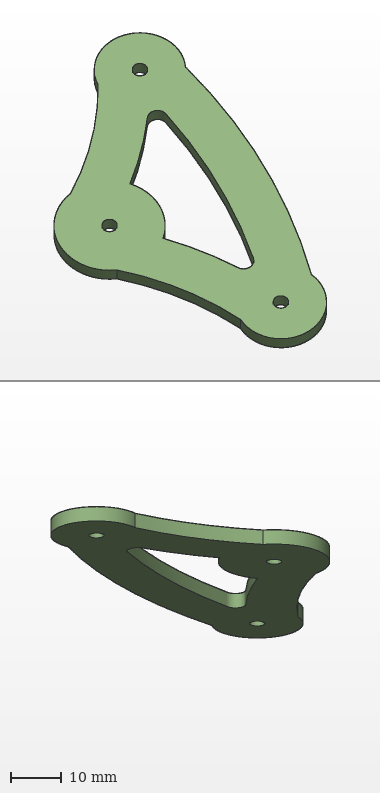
import cadquery as cq
import math

overall_length = 81.0
thickness = 3.0
hole_diameter = 3.0
end_lobe_radius = 9.0
lower_lobe_radius = 10.9
end_hole_x = overall_length / 2 - end_lobe_radius
end_hole_y = 22.0

web_width = 10.05
top_centre_y = -90.15
top_outer_radius = 123.8
top_inner_radius = top_outer_radius - web_width
arm_centre = (-59.05, -44.6)
arm_outer_radius = 63.75
arm_inner_radius = arm_outer_radius + web_width
window_corner_radius = 2.0

top_centre = (0, top_centre_y)
left_hole = (-end_hole_x, end_hole_y)
lower_hole = (0, 0)
right_hole = (end_hole_x, end_hole_y)


def mirrored(point):
    """Reflect a point across the symmetry axis."""
    return (-point[0], point[1])


def circle_crossings(centre_a, radius_a, centre_b, radius_b):
    """Both crossing points of two circles."""
    dx = centre_b[0] - centre_a[0]
    dy = centre_b[1] - centre_a[1]
    distance = math.hypot(dx, dy)
    along = (radius_a**2 - radius_b**2 + distance**2) / (2 * distance)
    across = math.sqrt(radius_a**2 - along**2)
    ux, uy = dx / distance, dy / distance
    return [
        (
            centre_a[0] + along * ux - side * across * uy,
            centre_a[1] + along * uy + side * across * ux,
        )
        for side in (1, -1)
    ]


def arc_middle(centre, radius, start, end):
    """Middle point of the shorter arc from start to end."""
    dx = (start[0] + end[0]) / 2 - centre[0]
    dy = (start[1] + end[1]) / 2 - centre[1]
    stretch = radius / math.hypot(dx, dy)
    return (centre[0] + dx * stretch, centre[1] + dy * stretch)


def curved_plate(top_left, arm_top, arm_bottom, top_radius, arm_radius):
    """Symmetric plate with a bowed top edge and an arc down each side."""
    arm_mid = arc_middle(arm_centre, arm_radius, arm_top, arm_bottom)
    outline = cq.Workplane("XY").moveTo(*top_left)
    outline = outline.threePointArc((0, top_centre_y + top_radius), mirrored(top_left))
    if arm_top != top_left:
        outline = outline.lineTo(*mirrored(arm_top))
    outline = outline.threePointArc(mirrored(arm_mid), mirrored(arm_bottom))
    if arm_bottom != mirrored(arm_bottom):
        outline = outline.lineTo(*arm_bottom)
    outline = outline.threePointArc(arm_mid, arm_top)
    return outline.close().extrude(thickness)


def disc(centre, radius):
    """Round plate of full thickness."""
    return cq.Workplane("XY").center(*centre).circle(radius).extrude(thickness)


def make_web():
    """Outer plate, whose corners fall on or inside the lobes."""
    top_left = max(circle_crossings(top_centre, top_outer_radius, left_hole, end_lobe_radius))
    arm_top = max(circle_crossings(arm_centre, arm_outer_radius, left_hole, end_lobe_radius))
    arm_bottom = min(circle_crossings(arm_centre, arm_outer_radius, lower_hole, lower_lobe_radius))
    return curved_plate(top_left, arm_top, arm_bottom, top_outer_radius, arm_outer_radius)


def make_window():
    """Three-cornered opening with rounded upper corners, notched by the lower lobe."""
    corner = max(circle_crossings(top_centre, top_inner_radius, arm_centre, arm_inner_radius))
    drop = math.sqrt(arm_inner_radius**2 - arm_centre[0] ** 2)
    tip = (0, arm_centre[1] + drop)
    window = curved_plate(corner, corner, tip, top_inner_radius, arm_inner_radius)
    upper_corners = window.edges("|Z").edges(">Y")
    window = upper_corners.fillet(window_corner_radius)
    return window.cut(disc(lower_hole, lower_lobe_radius))


result = make_web().cut(make_window())
lobes = ((left_hole, end_lobe_radius), (right_hole, end_lobe_radius), (lower_hole, lower_lobe_radius))
for centre, radius in lobes:
    result = result.union(disc(centre, radius))
for centre, _ in lobes:
    result = result.cut(disc(centre, hole_diameter / 2))